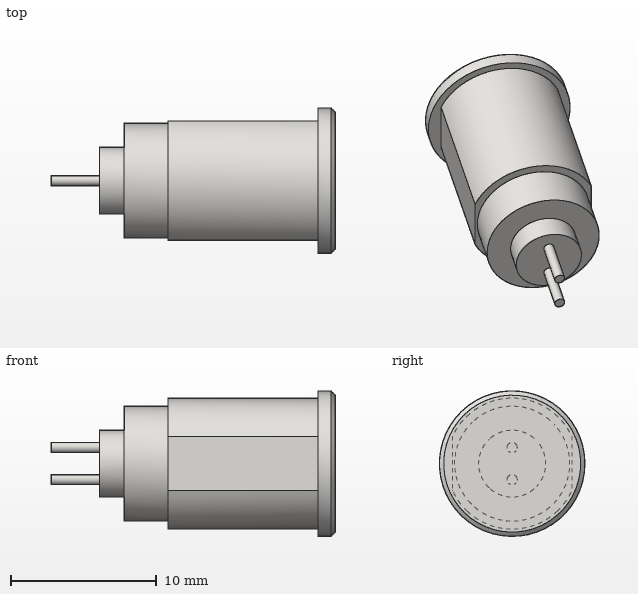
import cadquery as cq

pin_length = 3.3
collar_length = 1.7
shoulder_length = 3.0
body_length = 10.3
flange_length = 1.2

pin_diameter = 0.7
pin_spacing = 2.2
collar_diameter = 4.6
shoulder_diameter = 7.9
body_diameter = 9.0
body_across_flats = 8.2
flange_diameter = 10.0
flange_chamfer = 0.3

collar_start = pin_length
shoulder_start = collar_start + collar_length
body_start = shoulder_start + shoulder_length
flange_start = body_start + body_length


def cylinder_along_x(start, length, diameter, z=0):
    """Solid cylinder whose axis is parallel to X at height z."""
    return cq.Workplane("YZ", origin=(start, 0, z)).circle(diameter / 2).extrude(length)


def flatted_body():
    """Main barrel with two opposite flats facing -Y and +Y."""
    barrel = cylinder_along_x(body_start, body_length, body_diameter)
    flats = cq.Workplane("YZ", origin=(body_start, 0, 0)).rect(body_across_flats, body_diameter)
    return barrel.intersect(flats.extrude(body_length))


def flange():
    """End flange with a chamfered outer rim."""
    disc = cylinder_along_x(flange_start, flange_length, flange_diameter)
    return disc.faces(">X").edges().chamfer(flange_chamfer)


result = cylinder_along_x(collar_start, collar_length, collar_diameter)
result = result.union(cylinder_along_x(shoulder_start, shoulder_length, shoulder_diameter))
result = result.union(flatted_body())
result = result.union(flange())

for pin_z in (-pin_spacing / 2, pin_spacing / 2):
    result = result.union(cylinder_along_x(0, pin_length, pin_diameter, pin_z))